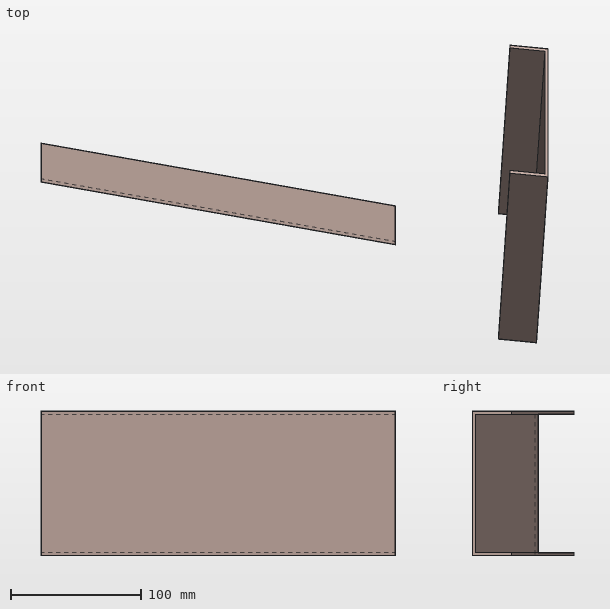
import cadquery as cq
import math

length = 272.0
height = 111.0
overall_depth = 78.0
flange_depth = 30.0
sheet_thickness = 2.5

end_drop = overall_depth - flange_depth
slant_angle = math.atan2(end_drop, length)
web_depth = sheet_thickness / math.cos(slant_angle)


def slanted_prism(front_offset, depth, bottom, prism_height):
    """Parallelogram prism set back along Y from the outer web face."""
    near_left = end_drop + front_offset
    return (
        cq.Workplane("XY", origin=(0, 0, bottom))
        .moveTo(0, near_left)
        .lineTo(length, front_offset)
        .lineTo(length, front_offset + depth)
        .lineTo(0, near_left + depth)
        .close()
        .extrude(prism_height)
    )


envelope = slanted_prism(0, flange_depth, 0, height)
hollow = slanted_prism(
    web_depth,
    flange_depth - web_depth,
    sheet_thickness,
    height - 2 * sheet_thickness,
)
result = envelope.cut(hollow)